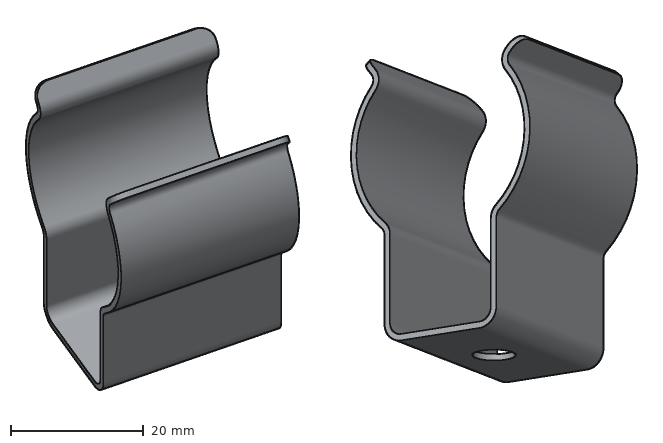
import cadquery as cq
import math

thickness = 1.0
clip_width = 30.0
clip_height = 45.0
ring_radius = 16.0
ring_height = 30.0
channel_half_width = 10.0
corner_radius = 3.0
bend_radius = 1.5
mouth_half_width = 11.0
lip_angle = 40.0
lip_corner_radius = 2.5
hole_diameter = 6.5
coincidence_tolerance = 1e-6

bend_center_reach = ring_radius + bend_radius
neck_x = channel_half_width + bend_radius
neck_angle = math.degrees(math.acos(neck_x / bend_center_reach))
neck_z = ring_height - math.sqrt(bend_center_reach**2 - neck_x**2)
mouth_x = mouth_half_width + thickness + bend_radius
mouth_angle = math.degrees(math.acos(mouth_x / bend_center_reach))
mouth_z = ring_height + math.sqrt(bend_center_reach**2 - mouth_x**2)

lip_slope = math.radians(lip_angle)
lip_start_z = mouth_z + (bend_radius + thickness) * math.sin(lip_slope)
lip_length = (clip_height - lip_start_z) / math.cos(lip_slope)
lip_direction = cq.Vector(math.sin(lip_slope), 0, math.cos(lip_slope))

corner_center = (channel_half_width - corner_radius, corner_radius)
bends = [
    (corner_center, corner_radius, -90, 0, -1),
    ((neck_x, neck_z), bend_radius, 180, 180 - neck_angle, 1),
    ((0, ring_height), ring_radius, -neck_angle, mouth_angle, -1),
    ((mouth_x, mouth_z), bend_radius, 180 + mouth_angle, 180 - lip_angle, 1),
]


def point_on_arc(center, radius, angle):
    """Point in the XZ plane at an angle in degrees from +X."""
    turn = math.radians(angle)
    x = center[0] + radius * math.cos(turn)
    z = center[1] + radius * math.sin(turn)
    return cq.Vector(x, 0, z)


def surface_edges(depth):
    """Edges of the right half at a depth below the outer surface, base to lip tip."""
    edges = []
    end = cq.Vector(0, 0, depth)
    for center, outer_radius, start_angle, end_angle, sign in bends:
        radius = outer_radius + sign * depth
        start = point_on_arc(center, radius, start_angle)
        middle = point_on_arc(center, radius, (start_angle + end_angle) / 2)
        if (start - end).Length > coincidence_tolerance:
            edges.append(cq.Edge.makeLine(end, start))
        end = point_on_arc(center, radius, end_angle)
        edges.append(cq.Edge.makeThreePointArc(start, middle, end))
    tip = end + lip_direction * lip_length
    edges.append(cq.Edge.makeLine(end, tip))
    return edges, tip


def make_half():
    """Right-hand half of the bent sheet with rounded lip corners."""
    outer_edges, outer_tip = surface_edges(0)
    inner_edges, inner_tip = surface_edges(thickness)
    tip_edge = cq.Edge.makeLine(outer_tip, inner_tip)
    base_edge = cq.Edge.makeLine(cq.Vector(0, 0, 0), cq.Vector(0, 0, thickness))
    outline = cq.Wire.assembleEdges(outer_edges + [tip_edge] + inner_edges[::-1] + [base_edge])
    sheet = cq.Solid.extrudeLinear(outline, [], cq.Vector(0, clip_width, 0))
    half = cq.Workplane(sheet.translate(cq.Vector(0, -clip_width / 2, 0)))
    tip_center = (outer_tip + inner_tip) * 0.5
    lip_corners = half.faces(cq.NearestToPointSelector(tip_center.toTuple())).edges("not |Y")
    return lip_corners.fillet(lip_corner_radius)


def make_hole():
    """Cutter for the mounting hole through the base."""
    return cq.Workplane("XY").circle(hole_diameter / 2).extrude(thickness)


right_half = make_half()
result = right_half.union(right_half.mirror("YZ")).clean().cut(make_hole())